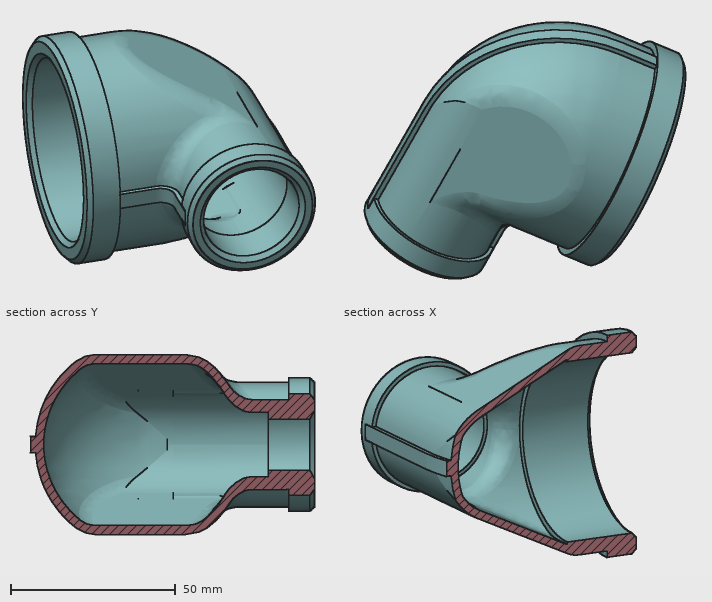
import cadquery as cq
import math

wall = 2.7
large_outer_radius = 33.0
small_outer_radius = 19.0
large_end_y = -46.4
small_end_x = 53.6

bend_start_y = -24.6
bend_center_x = small_outer_radius - bend_start_y - large_outer_radius

bend_start_angle = math.atan2(large_outer_radius, bend_start_y)
touch_angle = bend_start_angle - math.acos(small_outer_radius / math.hypot(bend_start_y, large_outer_radius))

outer_flat_round = 8.9
outer_branch_round = 5.8
cavity_flat_round = outer_flat_round - wall
cavity_branch_round = 6.2
blend_margin = 0.1

crown_overlap = 1.8

large_collar_radius = 35.0
large_collar_length = 10.1
small_collar_radius = 20.3
small_collar_length = 8.0
collar_chamfer = 1.5

large_bore_radius = 56.6 / 2
small_bore_radius = 30.3 / 2
large_bore_depth = 23.9
small_bore_depth = 14.2
bore_chamfer = 1.5

rib_width = 5.0
rib_height = small_collar_radius - small_outer_radius

reach = 132.9


def y_cylinder(radius, start, end):
    """Cylinder on the large axis between two Y positions."""
    return cq.Workplane("XZ", origin=(0, start, 0)).circle(radius).extrude(start - end)


def x_cylinder(radius, start, end):
    """Cylinder on the small axis between two X positions."""
    return cq.Workplane("YZ", origin=(start, 0, 0)).circle(radius).extrude(end - start)


def block(x_min, x_max, y_min, y_max):
    """Block between the given X and Y limits, tall enough to span the part."""
    return (
        cq.Workplane("XY", origin=(0, 0, -reach / 2))
        .moveTo(x_min, y_min)
        .lineTo(x_max, y_min)
        .lineTo(x_max, y_max)
        .lineTo(x_min, y_max)
        .close()
        .extrude(reach)
    )


def round_flats(body, radius, low, high):
    """Round the edges of the slanted flats whose centres lie between two corners, on both sides of Z = 0."""
    upper = cq.selectors.BoxSelector(low, high)
    lower = cq.selectors.BoxSelector((low[0], low[1], -high[2]), (high[0], high[1], -low[2]))
    return body.edges(upper + lower).fillet(radius)


def elbow(inset, flat_round, branch_round):
    """Solid elbow whose skin lies the given distance inside the outer skin."""
    large_radius = large_outer_radius - inset
    small_radius = small_outer_radius - inset
    touch_y = small_radius * math.cos(touch_angle)
    touch_z = small_radius * math.sin(touch_angle)
    apex_y = small_radius / math.cos(touch_angle)
    large_end_z = (apex_y - large_end_y) / math.tan(touch_angle)

    wedge = (
        cq.Workplane("YZ", origin=(-reach / 2, 0, 0))
        .moveTo(large_end_y, -large_end_z)
        .lineTo(apex_y, 0)
        .lineTo(large_end_y, large_end_z)
        .close()
        .extrude(reach)
    )
    crown = (
        cq.Workplane("YZ", origin=(-reach / 2, 0, 0))
        .moveTo(large_end_y, -large_end_z)
        .lineTo(touch_y, -touch_z)
        .threePointArc((small_radius, 0), (touch_y, touch_z))
        .lineTo(large_end_y, large_end_z)
        .close()
        .extrude(reach)
    )

    half_chord = math.sqrt(large_radius**2 - bend_center_x**2)
    swing = (
        cq.Workplane("XZ", origin=(0, bend_start_y, 0))
        .moveTo(bend_center_x, -half_chord)
        .threePointArc((-large_radius, 0), (bend_center_x, half_chord))
        .close()
        .revolve(90, (bend_center_x, 0, 0), (bend_center_x, -1, 0))
        .cut(block(0, reach, -reach, touch_y / 2))
    )
    bend = y_cylinder(large_radius, large_end_y, bend_start_y).intersect(block(-reach, 0, -reach, reach))
    bend = bend.union(swing).intersect(wedge)
    bend = round_flats(bend, flat_round, (-22.15, -22.15, 4.4), (-0.9, 13.3, 35.4))

    branch = y_cylinder(large_radius, large_end_y, apex_y).union(x_cylinder(small_radius, 0, small_end_x))
    mouth = cq.selectors.BoxSelector((17.7, -26.6, -26.6), (39.9, 26.6, 26.6))
    branch = branch.edges(mouth).fillet(branch_round)
    branch = branch.intersect(wedge).intersect(block(0, reach, -reach, touch_y - blend_margin))
    branch = round_flats(branch, flat_round, (0.9, -22.15, 4.4), (31, 8, 35.4))

    small_run = x_cylinder(small_radius, bend_center_x - crown_overlap, small_end_x)
    return bend.union(branch).union(small_run).intersect(crown)


def collar(radius, length):
    """Collar along +Z from its free end at Z = 0, chamfered on the rim."""
    return cq.Workplane("XY").circle(radius).extrude(length).faces("<Z").edges().chamfer(collar_chamfer)


def bore(radius, depth):
    """Bore along +Z from a free end at Z = 0, with a chamfered mouth."""
    mouth = cq.Workplane("XY").circle(radius + bore_chamfer).workplane(offset=bore_chamfer).circle(radius).loft()
    return cq.Workplane("XY").circle(radius).extrude(depth).union(mouth)


def at_large_end(body):
    """Move a body built along +Z onto the large run, reaching inwards from its end."""
    return body.rotate((0, 0, 0), (1, 0, 0), -90).translate((0, large_end_y, 0))


def at_small_end(body):
    """Move a body built along +Z onto the small run, reaching inwards from its end."""
    return body.rotate((0, 0, 0), (0, 1, 0), -90).translate((small_end_x, 0, 0))


def rib():
    """Flat rib that follows the outline of the elbow at Z = 0."""
    left = large_outer_radius + rib_height
    top = small_outer_radius + rib_height
    bend_radius = top - bend_start_y
    start_y = large_end_y + large_collar_length / 2
    end_x = small_end_x - small_collar_length / 2
    corner = outer_branch_round - rib_height
    diagonal = bend_radius * math.sqrt(0.5)
    return (
        cq.Workplane("XY", origin=(0, 0, -rib_width / 2))
        .moveTo(-left, start_y)
        .lineTo(-left, bend_start_y)
        .threePointArc(
            (bend_center_x - diagonal, bend_start_y + diagonal),
            (bend_center_x, top),
        )
        .lineTo(end_x, top)
        .lineTo(end_x, -top)
        .lineTo(left + corner, -top)
        .threePointArc(
            (left + corner * (1 - math.sqrt(0.5)), -top - corner * (1 - math.sqrt(0.5))),
            (left, -top - corner),
        )
        .lineTo(left, start_y)
        .close()
        .extrude(rib_width)
    )


outer = elbow(0, outer_flat_round, outer_branch_round)
body = (
    outer.union(rib())
    .union(at_large_end(collar(large_collar_radius, large_collar_length)))
    .union(at_small_end(collar(small_collar_radius, small_collar_length)))
)

hollow = elbow(wall, cavity_flat_round, cavity_branch_round).intersect(
    block(-reach, small_end_x - small_bore_depth, large_end_y + large_bore_depth, reach)
)
result = (
    body.cut(hollow)
    .cut(at_large_end(bore(large_bore_radius, large_bore_depth)))
    .cut(at_small_end(bore(small_bore_radius, small_bore_depth)))
)